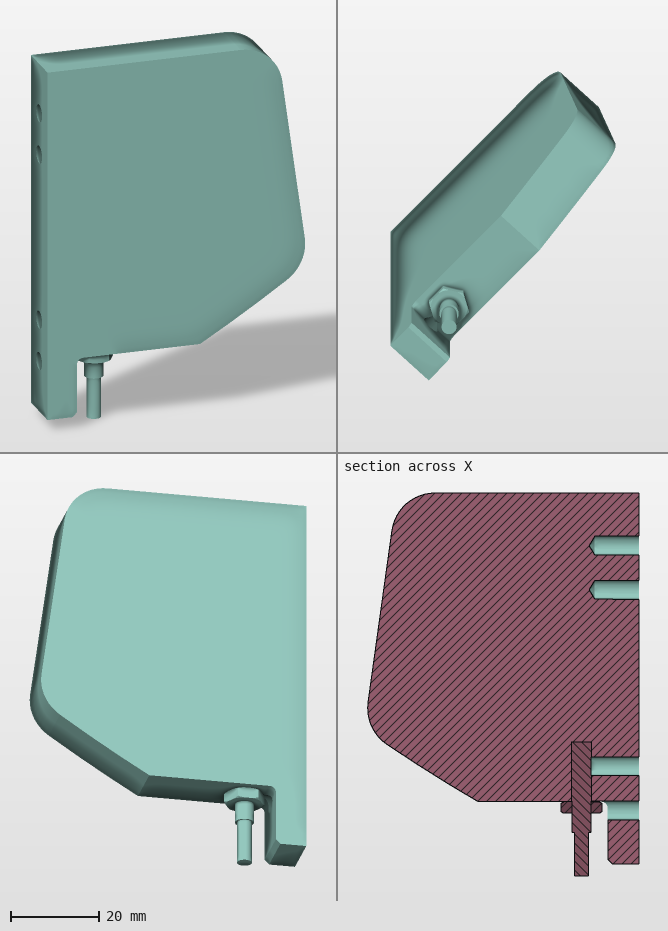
import cadquery as cq
import math

thickness = 12.0
depth = 61.6
top_z = 87.0
leg_bottom_z = 2.8
leg_depth = 7.05
ceiling_z = 16.9
ceiling_end_y = 36.45
corner_radius = 10.0
upper_corner_y = 46.2
lower_corner_z = 38.2
slope_start_angle = 34.0
leg_fillet = 1.5
leg_chamfer = 1.05

hole_diameter = 4.2
hole_spacing = 10.0
top_hole_z = 75.0
bottom_hole_z = 15.0
blind_hole_depth = 10.0
drill_point_angle = 118.0

pin_y = 13.05
pin_diameter = 4.35
pin_tip_diameter = 3.4
pin_step_z = 9.9
pin_top_z = 30.45
nut_corner_width = 9.4
nut_height = 2.5
nut_chamfer_width = 0.5
nut_chamfer_angle = 30.0


def arc_point(center, angle):
    """Point on a rounded rear corner, angle in degrees from +Y towards +Z."""
    a = math.radians(angle)
    return center[0] + corner_radius * math.cos(a), center[1] + corner_radius * math.sin(a)


def make_plate():
    upper = (upper_corner_y, top_z - corner_radius)
    lower = (depth - corner_radius, lower_corner_z)
    lean = math.degrees(math.atan2(lower[0] - upper[0], upper[1] - lower[1]))
    slope_normal = slope_start_angle - 90
    outline = (
        cq.Workplane("YZ", origin=(-thickness / 2, 0, 0))
        .moveTo(0, leg_bottom_z)
        .lineTo(0, top_z)
        .lineTo(upper_corner_y, top_z)
        .threePointArc(arc_point(upper, (90 + lean) / 2), arc_point(upper, lean))
        .lineTo(*arc_point(lower, lean))
        .threePointArc(arc_point(lower, (lean + slope_normal) / 2), arc_point(lower, slope_normal))
        .tangentArcPoint((ceiling_end_y, ceiling_z), relative=False)
        .lineTo(leg_depth + leg_fillet, ceiling_z)
        .radiusArc((leg_depth, ceiling_z - leg_fillet), -leg_fillet)
        .lineTo(leg_depth, leg_bottom_z + leg_chamfer)
        .lineTo(leg_depth - leg_chamfer, leg_bottom_z)
        .close()
    )
    return outline.extrude(thickness)


def front_cylinder(z, length):
    return cq.Workplane("XZ", origin=(0, 0, z)).circle(hole_diameter / 2).extrude(-length)


def blind_hole(z):
    """Drilled hole with a conical end."""
    radius = hole_diameter / 2
    point_length = radius / math.tan(math.radians(drill_point_angle / 2))
    cone = cq.Solid.makeCone(
        radius, 0, point_length, cq.Vector(0, blind_hole_depth, z), cq.Vector(0, 1, 0)
    )
    return front_cylinder(z, blind_hole_depth).union(cq.Workplane(cone))


def vertical_cylinder(diameter, bottom_z, end_z):
    base = cq.Workplane("XY", origin=(0, pin_y, bottom_z))
    return base.circle(diameter / 2).extrude(end_z - bottom_z)


def make_housing():
    body = make_plate()
    for z in (top_hole_z, top_hole_z - hole_spacing):
        body = body.cut(blind_hole(z))
    for z in (bottom_hole_z + hole_spacing, bottom_hole_z):
        body = body.cut(front_cylinder(z, pin_y))
    return body.cut(vertical_cylinder(pin_diameter, ceiling_z, pin_top_z))


def make_pin():
    tip = vertical_cylinder(pin_tip_diameter, 0, pin_step_z)
    return tip.union(vertical_cylinder(pin_diameter, pin_step_z, pin_top_z))


def make_nut():
    """Hexagonal nut, two corners on the Y axis, corners chamfered at both ends."""
    bottom_z = ceiling_z - nut_height
    hexagon = (
        cq.Workplane("XY", origin=(0, pin_y, bottom_z))
        .transformed(rotate=(0, 0, 90))
        .polygon(6, nut_corner_width)
        .extrude(nut_height)
    )
    chamfer_height = nut_chamfer_width * math.tan(math.radians(nut_chamfer_angle))
    envelope = (
        vertical_cylinder(nut_corner_width, bottom_z, ceiling_z)
        .edges("%CIRCLE")
        .chamfer(chamfer_height, nut_chamfer_width)
    )
    bore = vertical_cylinder(pin_diameter, bottom_z, ceiling_z)
    return hexagon.intersect(envelope).cut(bore)


housing = make_housing()
pin = make_pin()
nut = make_nut()
result = cq.Compound.makeCompound([housing.val(), pin.val(), nut.val()])